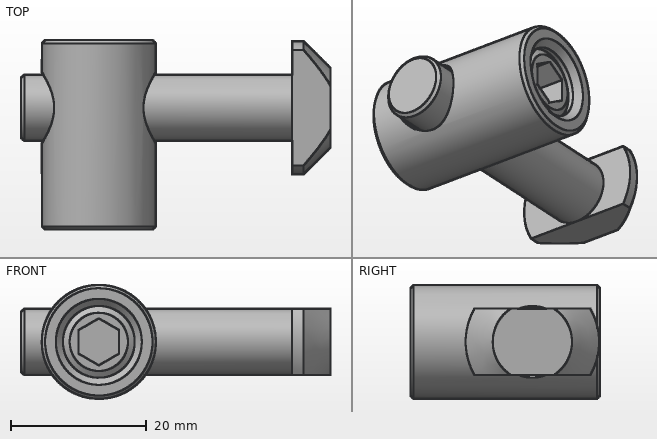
import cadquery as cq
import math


barrel_diameter = 16.85
barrel_length = 28.0
barrel_back = 10.0
barrel_front = barrel_back - barrel_length
barrel_chamfer = 0.5
bolt_hole_diameter = 10.5

countersink_diameter = 12.7
screw_diameter = 10.6
screw_face_diameter = 8.6
screw_face_depth = 1.3
screw_chamfer_angle = 30.0
hex_across_flats = 6.0
hex_depth = 5.0

shank_diameter = 9.8
shank_start = -11.5
shank_length = 40.0
shank_chamfer = 0.5
head_diameter = 19.7
head_top_diameter = 11.7
head_width = shank_diameter
head_rim_thickness = 1.7


def make_barrel():
    """Cross barrel with the bolt hole and the recessed hex socket screw end."""
    barrel = (
        cq.Workplane("XZ", origin=(0, barrel_back, 0))
        .circle(barrel_diameter / 2)
        .extrude(barrel_length)
        .faces("<Y or >Y")
        .chamfer(barrel_chamfer)
    )
    bolt_hole = cq.Workplane("YZ").circle(bolt_hole_diameter / 2).extrude(barrel_diameter / 2, both=True)
    return barrel.cut(bolt_hole).cut(screw_recess()).cut(hex_socket())


def screw_recess():
    """45 degree countersink and short bore, ending on the chamfered face of the screw."""
    countersink_depth = (countersink_diameter - screw_diameter) / 2
    screw_chamfer_width = (screw_diameter - screw_face_diameter) / 2
    screw_chamfer_height = screw_chamfer_width * math.tan(math.radians(screw_chamfer_angle))
    screw_face = barrel_front + screw_face_depth
    return (
        cq.Workplane("XY")
        .moveTo(0, barrel_front)
        .lineTo(countersink_diameter / 2, barrel_front)
        .lineTo(screw_diameter / 2, barrel_front + countersink_depth)
        .lineTo(screw_diameter / 2, screw_face + screw_chamfer_height)
        .lineTo(screw_face_diameter / 2, screw_face)
        .lineTo(0, screw_face)
        .close()
        .revolve(360, (0, 0, 0), (0, 1, 0))
    )


def hex_socket():
    """Hexagonal key socket with two corners pointing along Z."""
    socket_floor = barrel_front + screw_face_depth + hex_depth
    return (
        cq.Workplane("XZ", origin=(0, socket_floor, 0))
        .polygon(6, hex_across_flats, circumscribed=True)
        .extrude(socket_floor - barrel_front)
    )


def make_bolt():
    """T-bolt: chamfered round shank and a conical head cut to two flats."""
    shank = (
        cq.Workplane("YZ", origin=(shank_start, 0, 0))
        .circle(shank_diameter / 2)
        .extrude(shank_length)
        .faces("<X")
        .chamfer(shank_chamfer)
    )
    return shank.union(bolt_head())


def bolt_head():
    """Disc with a 45 degree cone on its outer side, trimmed flat above and below."""
    cone_height = (head_diameter - head_top_diameter) / 2
    head_thickness = head_rim_thickness + cone_height
    head_start = shank_start + shank_length
    disc = (
        cq.Workplane("YZ", origin=(head_start, 0, 0))
        .circle(head_diameter / 2)
        .extrude(head_thickness)
        .faces(">X")
        .chamfer(cone_height)
    )
    flats = cq.Workplane("YZ", origin=(head_start, 0, 0)).rect(head_diameter, head_width).extrude(head_thickness)
    return disc.intersect(flats)


barrel = make_barrel()
bolt = make_bolt()

result = cq.Compound.makeCompound([barrel.val(), bolt.val()])